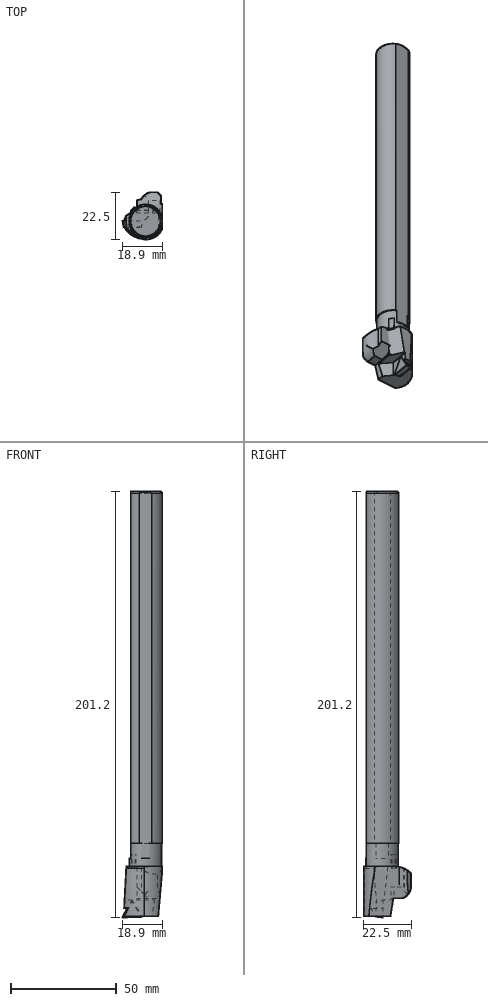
import math

import cadquery as cq


total_length = 201.25
shank_radius = 8.0
shank_chamfer = 1.0
neck_diameter = 15.35
neck_radius = neck_diameter / 2
shank_bottom = 35.0
flats_bottom = 28.0
side_flat_x = -7.05
front_flat_y = -7.45

head_bottom = 0.6
head_top = 24.2
head_radius = 8.7
head_right_x = shank_radius
head_chamfer = 0.8
step_x = -0.5
belly_radius = 11.0
belly_centre = (-0.3, 2.55)
belly_left_x = -10.5

flute_corner = (-4.1, 5.9)
flute_slope = 33.0
flute_lean = 4.7
flute_round = 1.2

side_relief_angle = 5.0
side_relief_start = 22.5
cutting_flat_x = -9.1
cutting_flat_angle = 3.0

jaw_left_x = -3.9
jaw_shoulder_y = 10.0
jaw_arc_start = (-2.0, 10.4)
jaw_arc_middle = (-0.2, 12.5)
jaw_back_y = 13.78
jaw_back_x = (2.4, 5.6)
jaw_right_x = 7.4
jaw_right_y = 12.0
jaw_base_y = 8.2
jaw_roof_y = 6.0
jaw_roof_end_z = 20.8
jaw_underside_z = 16.5
jaw_underside_middle = (12.75, 11.6)
jaw_underside_y = 9.8
jaw_bottom = 9.1
back_top_y = 5.4
back_bottom_y = 4.0
jaw_bevel_top = 14.5
bevel_start_y = 4.0

ridge_top = 30.0
ridge_width = 2.6
ridge_reach = 8.4
ridge_direction = 137.0

tip_x = -10.87
insert_edge = 9.63
nose_radius = 0.2
insert_thickness = 3.18
rake_y = 0.3
clearance_angle = 7.0
lead_angle = 2.0
side_edge_angle = lead_angle + 60

pocket_wall_x = -0.8
pocket_top = 8.5
tip_relief_top = 4.5
tip_relief_inset = 0.4

margin = 20.0


def long_prism(points):
    """Cutter with an (X, Z) outline that runs along Y through the whole part."""
    return cq.Workplane("XZ").polyline(points).close().extrude(margin, both=True)


def make_shank():
    """Chamfered shank and thinner neck with two flats that run out in the neck."""
    shank = (
        cq.Workplane("XY", origin=(0, 0, shank_bottom))
        .circle(shank_radius)
        .extrude(total_length - shank_bottom)
        .faces(">Z")
        .chamfer(shank_chamfer)
    )
    neck_bottom = head_top - head_chamfer
    neck = cq.Workplane("XY", origin=(0, 0, neck_bottom)).circle(neck_radius)
    bar = shank.union(neck.extrude(shank_bottom - neck_bottom))
    flats = cq.Workplane("XY", origin=(0, 0, flats_bottom))
    height = total_length - flats_bottom
    side_cut = flats.center(side_flat_x - margin / 2, 0).rect(margin, 2 * margin).extrude(height)
    front_cut = flats.center(0, front_flat_y - margin / 2).rect(2 * margin, margin).extrude(height)
    return bar.cut(side_cut).cut(front_cut)


def circle_low_y(x, radius, centre=(0, 0)):
    """Y of the lower half of a circle at the given X."""
    return centre[1] - math.sqrt(radius**2 - (x - centre[0]) ** 2)


def head_outline():
    """Cross-section of the head and jaw, drawn counter-clockwise."""
    right_y = circle_low_y(head_right_x, head_radius)
    arc_mid_x = (step_x + head_right_x) / 2
    belly_left_y = circle_low_y(belly_left_x, belly_radius, belly_centre)
    belly_mid_x = (belly_left_x + step_x) / 2
    return (
        cq.Workplane("XY", origin=(0, 0, head_bottom))
        .moveTo(step_x, circle_low_y(step_x, head_radius))
        .threePointArc((arc_mid_x, circle_low_y(arc_mid_x, head_radius)), (head_right_x, right_y))
        .lineTo(head_right_x, jaw_base_y)
        .lineTo(jaw_right_x, jaw_base_y)
        .lineTo(jaw_right_x, jaw_right_y)
        .lineTo(jaw_back_x[1], jaw_back_y)
        .lineTo(jaw_back_x[0], jaw_back_y)
        .threePointArc(jaw_arc_middle, jaw_arc_start)
        .lineTo(jaw_left_x, jaw_shoulder_y)
        .lineTo(belly_left_x, jaw_shoulder_y)
        .lineTo(belly_left_x, belly_left_y)
        .threePointArc(
            (belly_mid_x, circle_low_y(belly_mid_x, belly_radius, belly_centre)),
            (step_x, circle_low_y(step_x, belly_radius, belly_centre)),
        )
        .close()
    )


def make_side_profile():
    """Side shape (Y, Z) that trims the head: rounded jaw over a slim lower back."""
    return (
        cq.Workplane("YZ")
        .moveTo(-head_radius, head_bottom)
        .lineTo(-head_radius, head_top)
        .lineTo(jaw_roof_y, head_top)
        .tangentArcPoint((jaw_back_y, jaw_roof_end_z), relative=False)
        .lineTo(jaw_back_y, jaw_underside_z)
        .threePointArc(jaw_underside_middle, (jaw_underside_y, jaw_bottom))
        .lineTo(back_top_y, jaw_bottom)
        .lineTo(back_bottom_y, head_bottom)
        .close()
        .extrude(margin, both=True)
    )


def make_flute():
    """Cutter for the flute: a sloped floor and the jaw side, leaning back towards the top."""
    floor_drop = margin * math.tan(math.radians(flute_slope))
    return (
        cq.Workplane("XY", origin=(0, 0, -margin))
        .moveTo(*flute_corner)
        .lineTo(flute_corner[0], flute_corner[1] + margin)
        .lineTo(flute_corner[0] - margin, flute_corner[1] + margin)
        .lineTo(flute_corner[0] - margin, flute_corner[1] - floor_drop)
        .close()
        .extrude(head_top + 2 * margin)
        .edges(cq.selectors.NearestToPointSelector((flute_corner[0], flute_corner[1], head_top / 2)))
        .fillet(flute_round)
        .rotate((0, 0, head_top), (1, 0, head_top), -flute_lean)
    )


def make_rim_cutter():
    """Cutter that chamfers the shoulder rim along the belly arc, up to the step."""
    rim = cq.Workplane("XY", origin=(0, 0, head_top - head_chamfer))
    corner = (
        rim.center(step_x - margin / 2, -margin / 2)
        .rect(margin, margin)
        .extrude(head_chamfer)
    )
    cone = rim.center(*belly_centre).circle(belly_radius).extrude(head_chamfer, taper=45)
    return corner.cut(cone)


def make_head():
    """Head with its jaw, side profile, slanted sides and jaw bevel."""
    head = head_outline().extrude(head_top - head_bottom)

    head = head.intersect(make_side_profile())
    head = head.cut(make_flute())

    lean = side_relief_start * math.tan(math.radians(side_relief_angle))
    side_relief = [
        (head_right_x, side_relief_start),
        (head_right_x - lean, 0),
        (head_right_x + margin, 0),
        (head_right_x + margin, side_relief_start),
    ]
    head = head.cut(long_prism(side_relief))

    flat_lean = head_top * math.tan(math.radians(cutting_flat_angle))
    cutting_flat = [
        (cutting_flat_x, head_top),
        (cutting_flat_x - flat_lean, 0),
        (cutting_flat_x - margin, 0),
        (cutting_flat_x - margin, head_top),
    ]
    head = head.cut(long_prism(cutting_flat))

    head = head.cut(make_rim_cutter())

    bevel_left_x = flute_corner[0]
    bevel_size = jaw_bevel_top - jaw_bottom
    bevel = (
        cq.Workplane("XZ", origin=(0, bevel_start_y, 0))
        .moveTo(bevel_left_x, jaw_bevel_top)
        .lineTo(bevel_left_x + bevel_size, jaw_bottom)
        .lineTo(bevel_left_x, jaw_bottom)
        .close()
        .extrude(-margin)
    )
    return head.cut(bevel)


def make_ridge():
    """Tapered ridge on the neck above the flute wall."""
    return (
        cq.Workplane("XZ")
        .moveTo(0, head_top - head_chamfer)
        .lineTo(ridge_reach, head_top - head_chamfer)
        .lineTo(neck_radius, ridge_top)
        .lineTo(0, ridge_top)
        .close()
        .extrude(ridge_width / 2, both=True)
        .rotate((0, 0, 0), (0, 0, 1), ridge_direction)
    )


def make_insert():
    """Triangular insert with rounded noses; rake face towards +Y, tapering towards -Y."""
    centre_edge = insert_edge - 2 * nose_radius * math.sqrt(3)
    nose_x = tip_x + nose_radius
    nose_z = nose_radius
    noses = [(nose_x, nose_z)]
    for angle in (lead_angle, side_edge_angle):
        direction = math.radians(angle)
        run = centre_edge * math.cos(direction)
        rise = centre_edge * math.sin(direction)
        noses.append((nose_x + run, nose_z + rise))
    return (
        cq.Workplane("XZ", origin=(0, rake_y, 0))
        .polyline(noses)
        .close()
        .offset2D(nose_radius, "arc")
        .extrude(insert_thickness, taper=clearance_angle)
    )


def make_chip_pocket():
    """Open space over the rake face, closed by a 45 degree wall."""
    return (
        cq.Workplane("XY")
        .moveTo(pocket_wall_x - margin, rake_y)
        .lineTo(pocket_wall_x, rake_y)
        .lineTo(pocket_wall_x + margin, rake_y + margin)
        .lineTo(pocket_wall_x - margin, rake_y + margin)
        .close()
        .extrude(pocket_top)
    )


def make_tip_relief():
    """Relief beside the tip, parallel to the side edge of the insert."""
    edge_run = tip_relief_top / math.tan(math.radians(side_edge_angle))
    relief = [
        (tip_x + tip_relief_inset, 0),
        (tip_x + tip_relief_inset + edge_run, tip_relief_top),
        (tip_x - margin, tip_relief_top),
        (tip_x - margin, 0),
    ]
    return long_prism(relief)


insert = make_insert()

holder = make_shank().union(make_head()).union(make_ridge())
holder = holder.cut(make_chip_pocket()).cut(make_tip_relief()).cut(insert)

result = cq.Compound.makeCompound([holder.solids().val(), insert.val()])